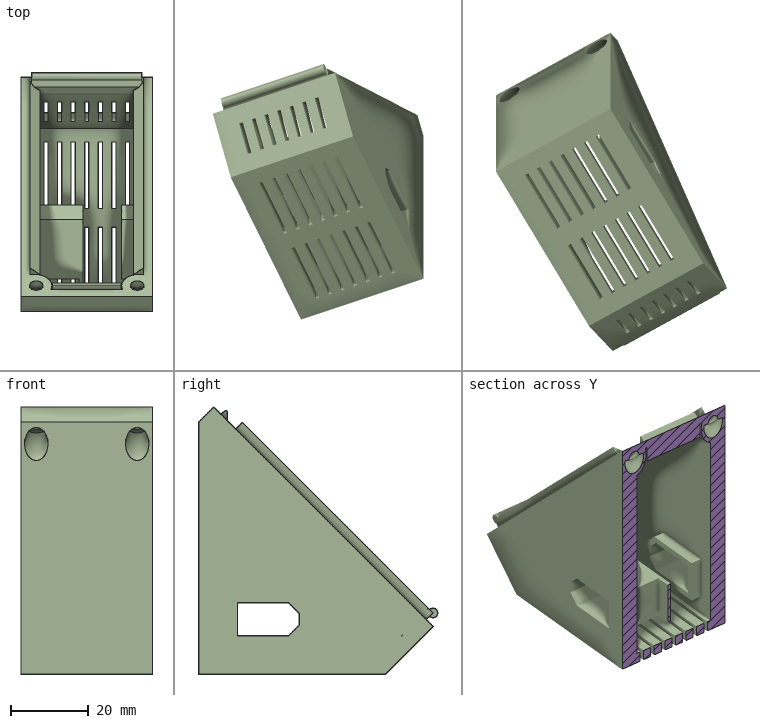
import cadquery as cq
import math


width = 34.0
front_height = 65.0
top_chamfer_length = 5.5
slope_length = 80.0

half_width = width / 2
diagonal = math.sqrt(0.5)
apex_y = top_chamfer_length * diagonal
apex_z = front_height + apex_y
back_y = apex_y + slope_length * diagonal
back_z = apex_z - slope_length * diagonal

wall = 3.0
cavity_half_width = 12.0
cavity_floor_end_y = 47.2
opening_start_u = 2.7
opening_end_u = 75.0
back_land_depth = 1.25

lip_half_width = 14.6
lip_start_u = 8.0
lip_end_u = 77.45
lip_height = 2.4

bar_radius = 1.25
bar_length = 28.4
neck_half_height = 1.05

screw_x = 13.0
screw_u = 4.0
screw_diameter = 3.4
head_diameter = 6.0
head_seat_depth = 2.5
boss_radius = 4.0
boss_length = 14.0

hook_width = 17.6
hook_back_y = 7.4
hook_foot_rise = 0.2
hook_tilt = math.radians(35)
hook_tip_radius = 0.4
hook_depth = 4.0

window_front_y = 10.0
window_back_y = 25.9
window_bottom_z = 9.95
window_top_z = 18.4
window_corner = 2.75
sleeve_wall = 1.6
left_sleeve_end_x = -1.0
right_sleeve_end_x = 9.0
web_thickness = 1.0

slot_count = 7
slot_pitch = 3.5
slot_width = 1.0
floor_slot_length = 17.1
floor_slot_starts_y = (4.6, 26.6)
back_slot_low_v = -13.0
back_slot_high_v = -4.7
back_slot_reach = 6.0


def slope_point(u, v):
    """(y, z) of a point u along the sloping face and v above it."""
    return apex_y + (u + v) * diagonal, apex_z + (v - u) * diagonal


bar_y, bar_z = slope_point(lip_end_u, lip_height)
ledge_v = opening_end_u - (apex_z - bar_z - neck_half_height) / diagonal
front_wall_top_v = (wall - apex_y) / diagonal - opening_start_u


def prism(points, x_start, x_end):
    """Polygon in the YZ plane extruded from x_start to x_end."""
    return cq.Workplane("YZ", origin=(x_start, 0, 0)).polyline(points).close().extrude(x_end - x_start)


def slope_plane(v):
    """Workplane parallel to the sloping face: local axes are X and u."""
    plane = cq.Plane(origin=(0, apex_y, apex_z), xDir=(1, 0, 0), normal=(0, 1, 1))
    return cq.Workplane(plane).workplane(offset=v)


def make_outline():
    points = [
        (0, 0),
        (0, front_height),
        (apex_y, apex_z),
        (back_y, back_z),
        (back_y - back_z, 0),
    ]
    return prism(points, -half_width, half_width)


def make_lip():
    points = [
        slope_point(lip_start_u, 0),
        slope_point(lip_start_u, lip_height),
        slope_point(lip_end_u, lip_height),
        slope_point(lip_end_u, 0),
    ]
    return prism(points, -lip_half_width, lip_half_width)


def make_cavity():
    points = [
        (wall, wall),
        (cavity_floor_end_y, wall),
        slope_point(opening_end_u, -back_land_depth),
        slope_point(opening_end_u, ledge_v),
        slope_point(opening_end_u + lip_height - ledge_v, lip_height),
        slope_point(opening_start_u, lip_height),
        slope_point(opening_start_u, front_wall_top_v),
    ]
    return prism(points, -lip_half_width, lip_half_width)


def make_cavity_width():
    """Straight-sided core of the cavity, flaring to a knife edge on top of the lip."""
    core = cq.Workplane("XY").box(
        2 * cavity_half_width, back_y, apex_z, centered=(True, False, False)
    )
    flare_profile = [
        (-cavity_half_width, 0),
        (-lip_half_width, lip_height),
        (lip_half_width, lip_height),
        (cavity_half_width, 0),
    ]
    start_y, start_z = slope_point(lip_start_u, 0)
    flare_plane = cq.Plane(origin=(0, start_y, start_z), xDir=(-1, 0, 0), normal=(0, 1, -1))
    flare = cq.Workplane(flare_plane).polyline(flare_profile).close().extrude(lip_end_u - lip_start_u)
    return core.union(flare)


def make_bar():
    """Hinge bar with the level neck that carries it."""
    bar = (
        cq.Workplane("YZ", origin=(-bar_length / 2, 0, 0))
        .center(bar_y, bar_z)
        .circle(bar_radius)
        .extrude(bar_length)
    )
    ledge_y, ledge_z = slope_point(opening_end_u, ledge_v)
    neck = cq.Workplane("XY", origin=(0, ledge_y, bar_z - neck_half_height)).box(
        bar_length, bar_y - ledge_y, ledge_z - bar_z + neck_half_height, centered=(True, False, False)
    )
    return bar.union(neck)


def slope_cylinders(diameter, top_v, length):
    """Cylinders on both screw axes, running from top_v into the body."""
    centers = [(-screw_x, screw_u), (screw_x, screw_u)]
    return slope_plane(top_v).pushPoints(centers).circle(diameter / 2).extrude(-length)


def make_hook():
    foot_y, foot_z = slope_point(opening_start_u, 0)
    foot_z += hook_foot_rise
    tip_z = foot_z + (hook_back_y - foot_y) * math.tan(hook_tilt)
    back_bottom_z = tip_z - hook_depth
    points = [
        (foot_y, foot_z),
        (hook_back_y, tip_z),
        (hook_back_y, back_bottom_z),
        (wall, back_bottom_z - (hook_back_y - wall)),
        slope_point(opening_start_u, front_wall_top_v),
    ]
    hook = prism(points, -hook_width / 2, hook_width / 2)
    return hook.edges("|X and >Z").fillet(hook_tip_radius)


def window_profile(offset):
    """Window outline with 45-degree back corners, grown by offset on every side."""
    front = window_front_y - offset
    back = window_back_y + offset
    bottom = window_bottom_z - offset
    top = window_top_z + offset
    corner = window_corner + offset * (2 - math.sqrt(2))
    return [
        (front, bottom),
        (front, top),
        (back - corner, top),
        (back, top - corner),
        (back, bottom + corner),
        (back - corner, bottom),
    ]


def make_sleeves():
    outline = window_profile(sleeve_wall)
    left = prism(outline, -half_width, left_sleeve_end_x)
    right = prism(outline, right_sleeve_end_x, half_width)
    return left.union(right)


def make_web():
    """Plate joining the inner end of the left sleeve to the front wall."""
    bottom = window_bottom_z - sleeve_wall
    top = window_top_z + sleeve_wall
    points = [(0, bottom), (0, top), (window_front_y, top), (window_front_y, bottom)]
    return prism(points, left_sleeve_end_x - web_thickness, left_sleeve_end_x)


def make_slots():
    back_slot = [
        slope_point(slope_length, back_slot_low_v),
        slope_point(slope_length, back_slot_high_v),
        slope_point(slope_length - back_slot_reach, back_slot_high_v),
        slope_point(slope_length - back_slot_reach, back_slot_low_v),
    ]
    slots = cq.Workplane("XY")
    for index in range(slot_count):
        x = (index - (slot_count - 1) / 2) * slot_pitch - slot_width / 2
        slots = slots.add(prism(back_slot, x, x + slot_width))
        for y in floor_slot_starts_y:
            floor_slot = cq.Workplane("XY", origin=(x, y, 0)).box(
                slot_width, floor_slot_length, wall, centered=False
            )
            slots = slots.add(floor_slot)
    return slots.combine()


outline = make_outline()
bosses = slope_cylinders(2 * boss_radius, 0, boss_length).intersect(outline)

result = (
    outline.union(make_lip())
    .cut(make_cavity().intersect(make_cavity_width()))
    .union(bosses)
    .union(make_bar())
    .union(make_hook())
    .union(make_sleeves())
    .union(make_web())
    .cut(prism(window_profile(0), -half_width, half_width))
    .cut(slope_cylinders(screw_diameter, 0, boss_length))
    .cut(slope_cylinders(head_diameter, -head_seat_depth, boss_length))
    .cut(make_slots())
)